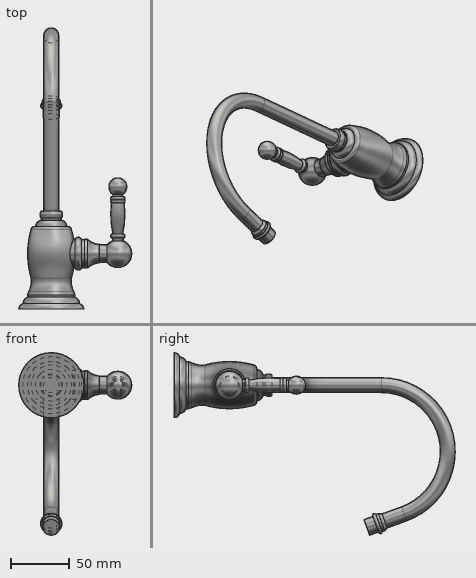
import cadquery as cq
import math

BASE_RADIUS = 28.0
BASE_STEP_RADIUS = 24.5
BASE_BAND_RADIUS = 20.5
BASE_BEVEL_RADIUS = 19.4
WAIST_RADIUS = 17.5
BELLY_RADIUS = 20.4
SHOULDER_TOP_RADIUS = 13.5
COLLAR_SEAT_RADIUS = 9.6
COLLAR_RADIUS = 8.8
COLLAR_BEAD_RADIUS = 9.8

STEP_BULGE = 0.95
WAIST_HOLLOW = 0.9

BASE_RIM_LENGTH = 4.6
BASE_STEP_END = 10.2
BASE_BAND_END = 12.2
BASE_BEVEL_END = 15.1
WAIST_Y = 26.7
BELLY_Y = 47.6
SHOULDER_Y = 68.3
SHOULDER_END = 71.0
COLLAR_SEAT_Y = 76.2
COLLAR_BEAD_START = 78.2
COLLAR_END = 84.2

TUBE_RADIUS = 6.5
OVERALL_LENGTH = 241.6
BEND_RADIUS = 57.0
BEND_CENTER_Y = OVERALL_LENGTH - TUBE_RADIUS - BEND_RADIUS
BEND_SWEEP = 160.0
NOZZLE_TILT = math.radians(180.0 - BEND_SWEEP)

OVERALL_DROP = 129.02
NOZZLE_TIP_RADIUS = 7.2
FLARE_START = 17.8
FLARE_LIP_RADIUS = 8.0
FLARE_LIP_AT = 20.6
FLARE_END = 23.0
RING_RADIUS = 9.2
RING_END = 26.0

ARM_REACH = 69.23
BALL_RADIUS = 12.0
BALL_X = ARM_REACH - BALL_RADIUS
ARM_FLANGE_RADIUS = 12.5
ARM_GROOVE_RADIUS = 12.2
ARM_RING_RADIUS = 14.2
ARM_RING_START = 20.4
ARM_RING_END = 26.2
ARM_GROOVE_END = 28.4
ARM_FLANGE_END = 31.2
ARM_TAPER_HOLLOW = 0.9
ARM_COLLAR_RADIUS = 8.1
ARM_COLLAR_START = 40.5
ARM_NECK_RADIUS = 7.7
ARM_NECK_START = 41.4

LEVER_FOOT_RADIUS = 4.7
LEVER_RING_RADIUS = 6.3
FOOT_RING_START = 13.3
FOOT_RING_END = 16.9
GRIP_SMALL_RADIUS = 4.3
GRIP_LARGE_RADIUS = 6.2
GRIP_LARGE_AT = 33.0
GRIP_END_RADIUS = 5.6
GRIP_END = 43.5
LOWER_RING_END = 46.0
UPPER_RING_END = 49.0
KNOB_NECK_RADIUS = 4.2
KNOB_RADIUS = 7.8
KNOB_AT = 57.4


def turn(profile, end):
    """Close a half profile back along its axis and revolve it about local Y."""
    return profile.lineTo(0, end).close().revolve(360, (0, 0), (0, 1))


def round_ring(profile, radius, start, end):
    """Half-round bead between two positions, reaching the given outer radius."""
    half_width = (end - start) / 2
    root = radius - half_width
    return (
        profile.lineTo(root, start)
        .threePointArc((radius, start + half_width), (root, end))
    )


def make_body():
    profile = cq.Workplane("XY").moveTo(0, 0).lineTo(BASE_RADIUS, 0)
    profile = profile.sagittaArc((BASE_STEP_RADIUS, BASE_RIM_LENGTH), -STEP_BULGE)
    profile = profile.sagittaArc((BASE_BAND_RADIUS, BASE_STEP_END), -STEP_BULGE)
    profile = profile.lineTo(BASE_BAND_RADIUS, BASE_BAND_END)
    profile = profile.lineTo(BASE_BEVEL_RADIUS, BASE_BEVEL_END)
    profile = profile.sagittaArc((WAIST_RADIUS, WAIST_Y), WAIST_HOLLOW)
    profile = profile.threePointArc((BELLY_RADIUS, BELLY_Y), (WAIST_RADIUS, SHOULDER_Y))
    profile = profile.sagittaArc((SHOULDER_TOP_RADIUS, SHOULDER_END), -STEP_BULGE)
    profile = profile.sagittaArc((COLLAR_SEAT_RADIUS, COLLAR_SEAT_Y), -STEP_BULGE)
    profile = profile.lineTo(COLLAR_RADIUS, COLLAR_SEAT_Y)
    profile = profile.lineTo(COLLAR_RADIUS, COLLAR_BEAD_START)
    profile = profile.threePointArc(
        (COLLAR_BEAD_RADIUS, (COLLAR_BEAD_START + COLLAR_END) / 2),
        (COLLAR_RADIUS, COLLAR_END),
    )
    return turn(profile, COLLAR_END)


def bend_point(angle):
    """(Y, Z) on the spout centerline after turning through the given angle in degrees."""
    turned = math.radians(angle)
    return (
        BEND_CENTER_Y + BEND_RADIUS * math.sin(turned),
        BEND_RADIUS * (math.cos(turned) - 1),
    )


def make_spout():
    path = cq.Workplane("YZ").moveTo(BELLY_Y, 0).lineTo(BEND_CENTER_Y, 0)
    path = path.threePointArc(bend_point(BEND_SWEEP / 2), bend_point(BEND_SWEEP))
    start = cq.Plane(origin=(0, BELLY_Y, 0), xDir=(1, 0, 0), normal=(0, 1, 0))
    return cq.Workplane(start).circle(TUBE_RADIUS).sweep(path)


def make_nozzle():
    start_y, start_z = bend_point(BEND_SWEEP)
    tip_drop = NOZZLE_TIP_RADIUS * math.cos(NOZZLE_TILT)
    length = (OVERALL_DROP + start_z - tip_drop) / math.sin(NOZZLE_TILT)
    plane = cq.Plane(
        origin=(0, start_y, start_z),
        xDir=(1, 0, 0),
        normal=(0, math.sin(NOZZLE_TILT), -math.cos(NOZZLE_TILT)),
    )
    profile = cq.Workplane(plane).moveTo(0, 0).lineTo(TUBE_RADIUS, 0)
    profile = profile.lineTo(TUBE_RADIUS, FLARE_START)
    profile = profile.lineTo(FLARE_LIP_RADIUS, FLARE_LIP_AT)
    profile = profile.lineTo(FLARE_LIP_RADIUS, FLARE_END)
    profile = round_ring(profile, RING_RADIUS, FLARE_END, RING_END)
    profile = profile.lineTo(NOZZLE_TIP_RADIUS, RING_END)
    profile = profile.lineTo(NOZZLE_TIP_RADIUS, length)
    return turn(profile, length)


def make_arm():
    plane = cq.Plane(origin=(0, BELLY_Y, 0), xDir=(0, -1, 0), normal=(0, 0, 1))
    profile = cq.Workplane(plane).moveTo(0, 0).lineTo(ARM_FLANGE_RADIUS, 0)
    profile = profile.lineTo(ARM_FLANGE_RADIUS, ARM_RING_START)
    profile = profile.threePointArc(
        (ARM_RING_RADIUS, (ARM_RING_START + ARM_RING_END) / 2),
        (ARM_GROOVE_RADIUS, ARM_RING_END),
    )
    profile = profile.lineTo(ARM_GROOVE_RADIUS, ARM_GROOVE_END)
    profile = profile.lineTo(ARM_FLANGE_RADIUS, ARM_GROOVE_END)
    profile = profile.lineTo(ARM_FLANGE_RADIUS, ARM_FLANGE_END)
    profile = profile.sagittaArc((ARM_COLLAR_RADIUS, ARM_COLLAR_START), ARM_TAPER_HOLLOW)
    profile = profile.lineTo(ARM_COLLAR_RADIUS, ARM_NECK_START)
    profile = profile.lineTo(ARM_NECK_RADIUS, ARM_NECK_START)
    profile = profile.lineTo(ARM_NECK_RADIUS, BALL_X)
    ball = cq.Workplane("XY").sphere(BALL_RADIUS).translate((BALL_X, BELLY_Y, 0))
    return turn(profile, BALL_X).union(ball)


def make_lever():
    profile = cq.Workplane("XY", origin=(BALL_X, BELLY_Y, 0)).moveTo(0, 0)
    profile = profile.lineTo(LEVER_FOOT_RADIUS, 0).lineTo(LEVER_FOOT_RADIUS, FOOT_RING_START)
    profile = round_ring(profile, LEVER_RING_RADIUS, FOOT_RING_START, FOOT_RING_END)
    profile = profile.lineTo(GRIP_SMALL_RADIUS, FOOT_RING_END)
    profile = profile.threePointArc((GRIP_LARGE_RADIUS, GRIP_LARGE_AT), (GRIP_END_RADIUS, GRIP_END))
    profile = round_ring(profile, LEVER_RING_RADIUS, GRIP_END, LOWER_RING_END)
    profile = round_ring(profile, LEVER_RING_RADIUS, LOWER_RING_END, UPPER_RING_END)
    profile = profile.lineTo(KNOB_NECK_RADIUS, UPPER_RING_END).lineTo(KNOB_NECK_RADIUS, KNOB_AT)
    knob = cq.Workplane("XY").sphere(KNOB_RADIUS).translate((BALL_X, BELLY_Y + KNOB_AT, 0))
    return turn(profile, KNOB_AT).union(knob)


result = make_body().union(make_spout()).union(make_nozzle()).union(make_arm()).union(make_lever())